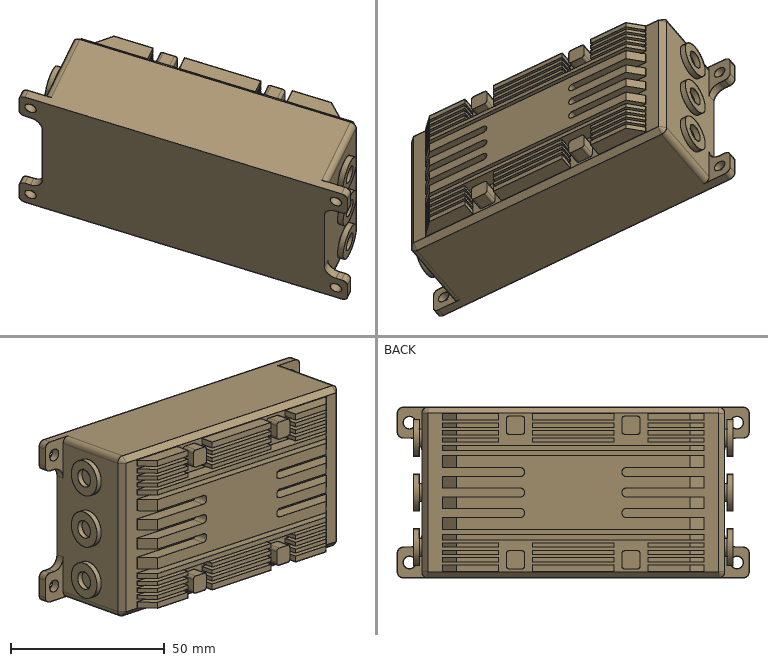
import cadquery as cq
EPS = 0.6

total_length = 114.5
total_depth = 35.5
height = 55.5
flange_thickness = 3.0
box_depth = 30.6
ear_length = 8.0
ear_height = 10.1
edge_radius = 2.1
ear_root_radius = 4.0
rim_chamfer = 2.0
box_length = total_length - 2 * ear_length

mount_hole_diameter = 4.0
mount_hole_inset_x = 4.0
mount_hole_inset_z = 5.0

fin_height = total_depth - box_depth
fin_foot_height = 0.3
fin_base_half_length = 42.5
fin_top_half_length = fin_base_half_length - (fin_height - fin_foot_height)
fin_block_half_height = 25.6
outer_fin_thickness = 2.1
narrow_groove = 1.0
fin_pitch = 2.4
narrow_groove_count = 4
central_panel_half_height = 12.0
wide_groove = 1.6

panel_slot_width = 3.0
panel_slot_pitch = 6.6

post_x = 18.8
post_size = 6.0
post_inset = 0.8
post_corner_radius = 1.0
post_clearance = 2.5

ring_y = 15.7
ring_pitch = 17.7
ring_diameter = 12.0
ring_thickness = 2.0
ring_standoff = 0.8
boss_diameter = 6.0


def block(x_range, y_range, z_range):
    """Box between two limits on each axis."""
    lows, highs = zip(x_range, y_range, z_range)
    sizes = [high - low for low, high in zip(lows, highs)]
    return cq.Workplane("XY").box(*sizes, centered=False).translate(lows)


def make_box():
    """Main box with rounded edges and a chamfered rim on the +Y face."""
    box = block(
        (-box_length / 2, box_length / 2), (0, box_depth), (-height / 2, height / 2)
    )
    return box.edges("|Y").fillet(edge_radius).faces(">Y").chamfer(rim_chamfer)


def make_flange():
    """Plate with an ear at each corner, cut back to the box between the ears."""
    flange = block(
        (-total_length / 2, total_length / 2), (0, flange_thickness), (-height / 2, height / 2)
    )
    recess_half_height = height / 2 - ear_height
    for side in (-1, 1):
        x_limits = sorted((side * box_length / 2, side * (total_length / 2 + EPS)))
        recess = block(
            x_limits,
            (-EPS, flange_thickness + EPS),
            (-recess_half_height, recess_half_height),
        )
        inner_edges = "|Y and <X" if side > 0 else "|Y and >X"
        flange = flange.cut(recess.edges(inner_edges).fillet(ear_root_radius))
    flange = flange.edges("|Y and (<X or >X)").fillet(edge_radius)
    holes = (
        cq.Workplane("XZ")
        .rect(
            total_length - 2 * mount_hole_inset_x,
            height - 2 * mount_hole_inset_z,
            forConstruction=True,
        )
        .vertices()
        .circle(mount_hole_diameter / 2)
        .extrude(-flange_thickness)
    )
    return flange.cut(holes)


def cut_grooves(fins):
    """Grooves along X that leave the thin fins and the central panel."""
    for side in (-1, 1):
        groove_spans = []
        for index in range(narrow_groove_count):
            outer_z = fin_block_half_height - outer_fin_thickness - index * fin_pitch
            groove_spans.append((outer_z, outer_z - narrow_groove))
        groove_spans.append(
            (central_panel_half_height + wide_groove, central_panel_half_height)
        )
        for span in groove_spans:
            groove = block(
                (-fin_base_half_length, fin_base_half_length),
                (box_depth, total_depth + EPS),
                sorted(side * z for z in span),
            )
            fins = fins.cut(groove)
    return fins


def cut_panel_slots(fins):
    """Slots open at the sloping ends, each ending half-round, level with the posts' inner sides."""
    slot_tip_x = post_x - post_size / 2
    slot_half_length = fin_base_half_length + EPS - slot_tip_x
    for side in (-1, 1):
        for row in (-1, 0, 1):
            slot = (
                cq.Workplane("XZ", origin=(0, box_depth, 0))
                .center(side * (slot_tip_x + slot_half_length), row * panel_slot_pitch)
                .slot2D(2 * slot_half_length, panel_slot_width)
                .extrude(-fin_height)
            )
            fins = fins.cut(slot)
    return fins


def add_posts(fins):
    """Clear a pocket for each post, open at the block's long edge, and stand the post in it."""
    y_limits = (box_depth, total_depth)
    pocket_half_width = post_size / 2 + post_clearance
    post_outer_z = fin_block_half_height - post_inset
    post_inner_z = post_outer_z - post_size
    pocket_inner_z = post_inner_z - post_clearance
    for side in (-1, 1):
        for x in (-post_x, post_x):
            pocket = block(
                (x - pocket_half_width, x + pocket_half_width),
                y_limits,
                sorted((side * fin_block_half_height, side * pocket_inner_z)),
            )
            post = block(
                (x - post_size / 2, x + post_size / 2),
                y_limits,
                sorted((side * post_outer_z, side * post_inner_z)),
            )
            fins = fins.cut(pocket).union(post.edges("|Y").fillet(post_corner_radius))
    return fins


def make_fins():
    """Finned block on the +Y face of the box."""
    blank = (
        cq.Workplane("XY", origin=(0, 0, -fin_block_half_height))
        .polyline(
            [
                (-fin_base_half_length, box_depth),
                (fin_base_half_length, box_depth),
                (fin_base_half_length, box_depth + fin_foot_height),
                (fin_top_half_length, total_depth),
                (-fin_top_half_length, total_depth),
                (-fin_base_half_length, box_depth + fin_foot_height),
            ]
        )
        .close()
        .extrude(2 * fin_block_half_height)
    )
    return add_posts(cut_panel_slots(cut_grooves(blank)))


def disc_on_end(side, z, standoff, diameter, thickness):
    """Disc parallel to an end face, `standoff` away from it; side is -1 or 1 along X."""
    outward = cq.Plane(
        origin=(side * (box_length / 2 + standoff), ring_y, z), xDir=(0, 1, 0), normal=(side, 0, 0)
    )
    return cq.Workplane(outward).circle(diameter / 2).extrude(thickness)


def make_boss(side, z):
    """Short boss on an end face that carries a ring."""
    return disc_on_end(side, z, 0, boss_diameter, ring_standoff)


def make_ring(side, z):
    """Flat ring held off the end face by its boss."""
    disc = disc_on_end(side, z, ring_standoff, ring_diameter, ring_thickness)
    bore = disc_on_end(side, z, ring_standoff, boss_diameter, ring_thickness)
    return disc.cut(bore)


housing = make_box().union(make_flange()).union(make_fins())
rings = []
for end in (-1, 1):
    for row in (-1, 0, 1):
        ring_z = row * ring_pitch
        housing = housing.union(make_boss(end, ring_z))
        rings.append(make_ring(end, ring_z).val())

result = cq.Compound.makeCompound([housing.val(), *rings])